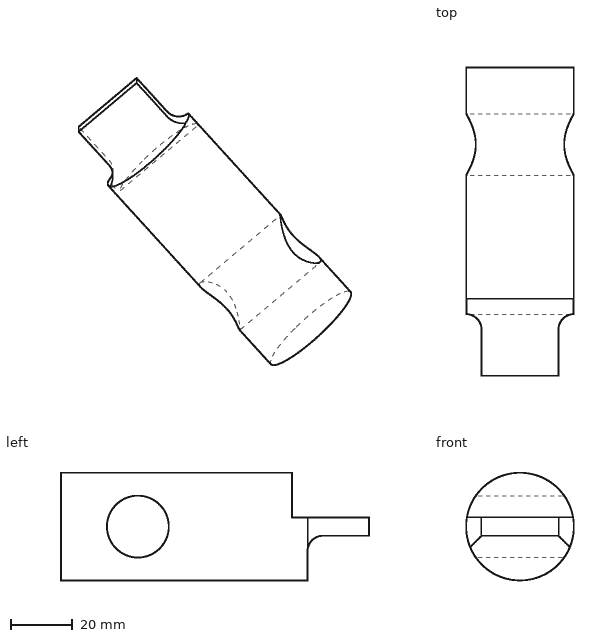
import cadquery as cq
import math

total_length = 100.0
shaft_diameter = 35.0
body_start = 20.0
step_start = 25.0
tongue_width = 25.0
tongue_thickness = 6.0
root_radius = 5.0
hole_diameter = 20.0
hole_y = 75.0

shaft_radius = shaft_diameter / 2
half_width = tongue_width / 2
half_thickness = tongue_thickness / 2
root_start = body_start - root_radius
arc_offset = root_radius * (1 - math.sqrt(0.5))


def make_shaft():
    return cq.Workplane("XZ").circle(shaft_radius).extrude(-total_length)


def make_plan_profile():
    """Outline in X and Y: tongue flaring into the full shaft width."""
    right_half = (
        cq.Workplane("XY")
        .moveTo(0, 0)
        .lineTo(half_width, 0)
        .lineTo(half_width, root_start)
        .threePointArc(
            (half_width + arc_offset, body_start - arc_offset),
            (half_width + root_radius, body_start),
        )
        .lineTo(shaft_radius, total_length)
        .lineTo(0, total_length)
        .close()
        .extrude(shaft_radius, both=True)
    )
    return right_half.union(right_half.mirror("YZ"))


def make_side_profile():
    """Outline in Y and Z: flat top step and a rounded root under the tongue."""
    return (
        cq.Workplane("YZ")
        .moveTo(0, half_thickness)
        .lineTo(0, -half_thickness)
        .lineTo(root_start, -half_thickness)
        .threePointArc(
            (body_start - arc_offset, -half_thickness - arc_offset),
            (body_start, -half_thickness - root_radius),
        )
        .lineTo(body_start, -shaft_radius)
        .lineTo(total_length, -shaft_radius)
        .lineTo(total_length, shaft_radius)
        .lineTo(step_start, shaft_radius)
        .lineTo(step_start, half_thickness)
        .close()
        .extrude(shaft_radius, both=True)
    )


def make_cross_hole():
    return (
        cq.Workplane("YZ")
        .center(hole_y, 0)
        .circle(hole_diameter / 2)
        .extrude(shaft_diameter, both=True)
    )


result = (
    make_shaft()
    .intersect(make_plan_profile())
    .intersect(make_side_profile())
    .cut(make_cross_hole())
)